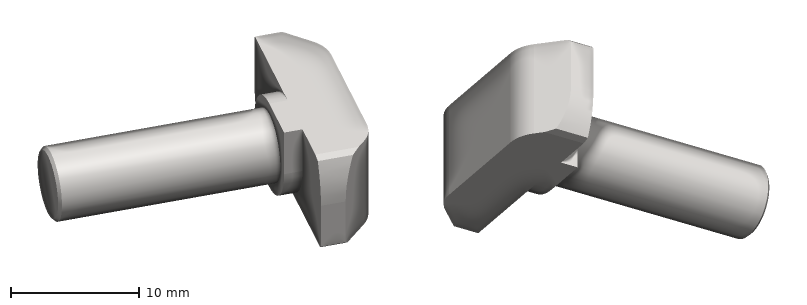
import cadquery as cq
import math

total_length = 24.5
head_width = 18.0
thickness = 8.0

head_depth = 5.0
head_side_depth = 2.0
head_back_radius = 3.0
sweep_radius = 8.5
sweep_start = 0.12
corner_bevel = 0.2
bevel_run = 0.65
bevel_rise = 0.17

neck_depth = 1.5
shank_diameter = 6.0
shank_chamfer = 0.25

half_width = head_width / 2
half_thick = thickness / 2
back_y = total_length / 2
head_front_y = back_y - head_depth
neck_front_y = head_front_y - neck_depth
shank_end_y = -total_length / 2


def swept_x(z):
    """X of the swept corner at height z; its arc is tangent to the head side."""
    return half_width - sweep_radius + math.sqrt(sweep_radius**2 - (z - sweep_start) ** 2)


def extrude_along_y(outline, start_y, depth):
    """Extrude an XZ outline from start_y toward +Y."""
    return outline.extrude(-depth).translate((0, start_y, 0))


def make_head():
    slope = head_depth - head_side_depth
    side_y = head_front_y + head_side_depth
    plan = (
        cq.Workplane("XY", origin=(0, 0, -half_thick))
        .moveTo(-half_width, head_front_y)
        .lineTo(half_width, head_front_y)
        .lineTo(half_width, side_y)
        .lineTo(half_width - slope, back_y)
        .lineTo(-half_width + slope, back_y)
        .lineTo(-half_width, side_y)
        .close()
        .extrude(thickness)
        .faces(">Y")
        .edges("|Z")
        .fillet(head_back_radius)
    )

    arc_end_z = half_thick - bevel_rise
    arc_end_x = swept_x(arc_end_z)
    arc_mid_z = (sweep_start + arc_end_z) / 2
    arc_mid_x = swept_x(arc_mid_z)
    face = (
        cq.Workplane("XZ")
        .moveTo(half_width, sweep_start)
        .threePointArc((arc_mid_x, arc_mid_z), (arc_end_x, arc_end_z))
        .lineTo(arc_end_x - bevel_run, half_thick)
        .lineTo(-half_width + corner_bevel, half_thick)
        .lineTo(-half_width, half_thick - corner_bevel)
        .lineTo(-half_width, -sweep_start)
        .threePointArc((-arc_mid_x, -arc_mid_z), (-arc_end_x, -arc_end_z))
        .lineTo(-arc_end_x + bevel_run, -half_thick)
        .lineTo(half_width - corner_bevel, -half_thick)
        .lineTo(half_width, -half_thick + corner_bevel)
        .close()
    )
    return plan.intersect(extrude_along_y(face, head_front_y, head_depth))


def make_neck():
    diagonal = half_thick * math.sqrt(0.5)
    outline = (
        cq.Workplane("XZ")
        .moveTo(half_thick, half_thick)
        .lineTo(0, half_thick)
        .threePointArc((-diagonal, diagonal), (-half_thick, 0))
        .lineTo(-half_thick, -half_thick)
        .lineTo(0, -half_thick)
        .threePointArc((diagonal, -diagonal), (half_thick, 0))
        .close()
    )
    return extrude_along_y(outline, neck_front_y, neck_depth)


def make_shank():
    outline = cq.Workplane("XZ").circle(shank_diameter / 2)
    shank = extrude_along_y(outline, shank_end_y, neck_front_y - shank_end_y)
    return shank.faces("<Y").chamfer(shank_chamfer)


result = make_head().union(make_neck()).union(make_shank())